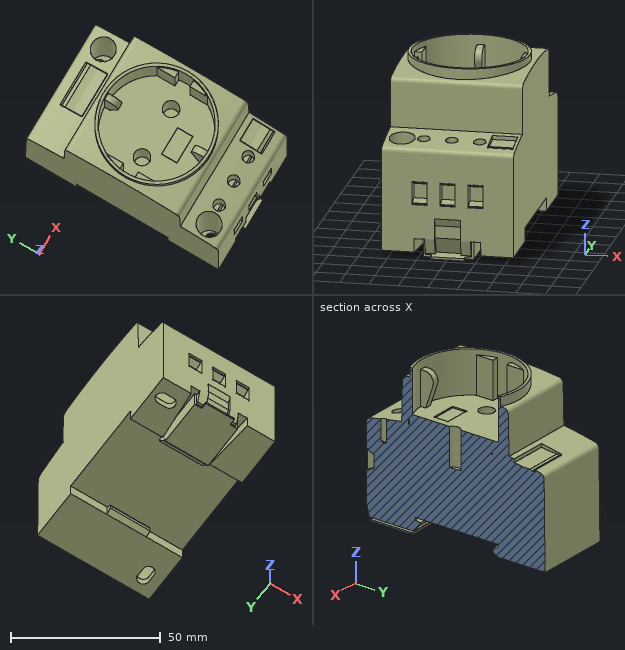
import cadquery as cq
import math

HOUSING_WIDTH = 45.0
FRONT_Y = -37.35
REAR_BOTTOM_Y = 37.61
REAR_TOP_Y = 37.2
SHOULDER_STEP_Y = 22.55
UPPER_WALL_Y = 22.2
SHOULDER_CROWN_Z = 40.3
TOP_CROWN_Z = 57.3
CROWN_RADIUS = 160.0
EDGE_RADIUS = 2.0

RAIL_HALF_WIDTH = 17.75
RAIL_DEPTH = 4.75
REAR_HOOK_REACH = 2.1
REAR_HOOK_HALF_WIDTH = 8.0
REAR_HOOK_NOSE_BOTTOM_Z = 1.15
REAR_HOOK_NOSE_TOP_Z = 2.95
REAR_HOOK_CHAMFER = 0.45
REAR_HOOK_TOP_Z = 3.75

RIM_Z = 59.72
RIM_DIAMETER = 41.2
SOCKET_DIAMETER = 39.0
SOCKET_DEPTH = 17.1
SOCKET_FLOOR_Z = RIM_Z - SOCKET_DEPTH
PIN_SPACING = 19.0
PIN_DIAMETER = 5.8
PIN_DEPTH = 15.0
WINDOW_SIZE = (10.4, 5.9)
WINDOW_Y = -8.0
WINDOW_DEPTH = 0.5
GUIDE_HALF_SPACING = 16.85
GUIDE_SLOT_WIDTH = 5.8
GUIDE_LENGTH = 20.0
GUIDE_HEIGHT = 14.9
CONTACT_WIDTH = 2.5
CONTACT_TOP_DEPTH = 3.5
CONTACT_CREST_Y = 17.8
CONTACT_FOOT_Y = 17.3
CONTACT_RADIUS = 3.65

FRONT_FIXING_X = -16.8
REAR_FIXING_X = 16.25
FIXING_Y = 30.3
FIXING_BORE_DIAMETER = 8.6
FIXING_FLOOR_Z = 3.0
FIXING_SLOT_LENGTH = 7.5
FIXING_SLOT_WIDTH = 4.4

TERMINAL_PITCH = 9.53
SCREW_Y = -29.9
SCREW_DIAMETER = 4.1
SCREW_HEAD_Z = 29.0
SCREW_SLOT_WIDTH = 0.65
SCREW_SLOT_DEPTH = 0.5
WIRE_WIDTH = 5.1
WIRE_BOTTOM_Z = 16.6
WIRE_TOP_Z = 24.5
WIRE_LIP_DEPTH = 0.75
WIRE_LIP_STEP = 0.35
WIRE_DEPTH = 3.2
WIRE_TAPER_RISE = 1.1

LABEL_INNER_Y = 24.7
LABEL_OUTER_Y = 33.2
LABEL_RIDGE_Y = 28.4
LABEL_GROOVE_Y = 31.3
LABEL_LEDGE_Y = 32.6
LABEL_INNER_Z = 37.0
LABEL_RIDGE_Z = 36.5
LABEL_GROOVE_Z = 35.9
LABEL_TOP_Z = 45.0
FRONT_LABEL_X = (12.8, 21.4)
REAR_LABEL_X = (-7.1, 9.7)

NOTCH_HALF_FRONT = 11.3
NOTCH_HALF_REAR = 9.45
CLIP_HALF_WIDTH = 8.65
CLIP_WALL = 0.85
CLIP_BOTTOM_Z = -1.92
CLIP_FRONT_Y = -35.5
CLIP_REAR_Y = -17.9
CLIP_NECK_Y = -16.7
CLIP_NECK_Z = 4.0
CLIP_NOSE_Y = -14.5
CLIP_NOSE_TOP_Z = 3.55
CLIP_NOSE_BOTTOM_Z = 2.8
CLIP_RAMP_FOOT_Y = -17.4
TONGUE_HALF_WIDTH = 5.75
TONGUE_FRONT_Y = -37.87
BLOCK_BOTTOM_Z = -0.5
BLOCK_BOTTOM_Y = -36.1
LEVER_HALF_WIDTH = 4.4
LEVER_TOP_Z = 12.05
LEVER_DEPTH = 1.0
LEVER_BACK_TOP_Z = 9.4
LEVER_BACK_BOTTOM_Z = 5.1
LEVER_BOTTOM_Y = -34.0

OVERLAP = 0.5


def crown_z(peak_z, y):
    """Height of a crowned surface at distance y from the socket axis."""
    return peak_z - CROWN_RADIUS + math.sqrt(CROWN_RADIUS**2 - y**2)


def box(x_range, y_range, z_range):
    """Box between pairs of limits along the three axes."""
    limits = (x_range, y_range, z_range)
    sizes = [high - low for low, high in limits]
    corner = [low for low, _ in limits]
    return cq.Workplane("XY").box(*sizes, centered=False).translate(tuple(corner))


def prism_along_x(points, x_low, x_high):
    """Prism along X over a polygon of (y, z) points."""
    section = cq.Workplane("YZ").workplane(offset=x_low).polyline(points).close()
    return section.extrude(x_high - x_low)


def cylinder(x, y, bottom_z, top_z, diameter):
    disc = cq.Workplane("XY").workplane(offset=bottom_z).center(x, y).circle(diameter / 2)
    return disc.extrude(top_z - bottom_z)


def housing():
    step_z = crown_z(SHOULDER_CROWN_Z, SHOULDER_STEP_Y)
    front_z = crown_z(SHOULDER_CROWN_Z, FRONT_Y)
    rear_z = crown_z(SHOULDER_CROWN_Z, REAR_TOP_Y)
    top_z = crown_z(TOP_CROWN_Z, UPPER_WALL_Y)
    front_mid_y = (FRONT_Y - SHOULDER_STEP_Y) / 2
    rear_mid_y = (REAR_TOP_Y + SHOULDER_STEP_Y) / 2
    profile = (
        cq.Workplane("YZ")
        .workplane(offset=-HOUSING_WIDTH / 2)
        .moveTo(FRONT_Y, 0)
        .lineTo(FRONT_Y, front_z)
        .threePointArc((front_mid_y, crown_z(SHOULDER_CROWN_Z, front_mid_y)), (-SHOULDER_STEP_Y, step_z))
        .lineTo(-UPPER_WALL_Y, top_z)
        .threePointArc((0, TOP_CROWN_Z), (UPPER_WALL_Y, top_z))
        .lineTo(SHOULDER_STEP_Y, step_z)
        .threePointArc((rear_mid_y, crown_z(SHOULDER_CROWN_Z, rear_mid_y)), (REAR_TOP_Y, rear_z))
        .lineTo(REAR_BOTTOM_Y, 0)
        .lineTo(RAIL_HALF_WIDTH, 0)
        .lineTo(RAIL_HALF_WIDTH, RAIL_DEPTH)
        .lineTo(-RAIL_HALF_WIDTH, RAIL_DEPTH)
        .lineTo(-RAIL_HALF_WIDTH, 0)
        .close()
    )
    body = profile.extrude(HOUSING_WIDTH)
    crests = [(FRONT_Y, front_z), (REAR_TOP_Y, rear_z), (-UPPER_WALL_Y, top_z), (UPPER_WALL_Y, top_z)]
    for y, z in crests:
        body = body.edges(cq.selectors.NearestToPointSelector((0, y, z))).fillet(EDGE_RADIUS)
    return body


def earth_contact():
    """Earth contact on the rear side of the socket, rounded at its top and slanting back to its foot."""
    wall_y = SOCKET_DIAMETER / 2 + OVERLAP
    crest_z = RIM_Z - CONTACT_TOP_DEPTH
    centre_z = crest_z - CONTACT_RADIUS
    foot_offset_y = CONTACT_FOOT_Y - CONTACT_CREST_Y
    foot_offset_z = SOCKET_FLOOR_Z - centre_z
    foot_angle = math.atan2(foot_offset_z, foot_offset_y) % (2 * math.pi)
    tangent_angle = foot_angle - math.acos(CONTACT_RADIUS / math.hypot(foot_offset_y, foot_offset_z))
    middle_angle = (math.pi / 2 + tangent_angle) / 2

    def point_on_nose(angle):
        return (CONTACT_CREST_Y + CONTACT_RADIUS * math.cos(angle), centre_z + CONTACT_RADIUS * math.sin(angle))

    return (
        cq.Workplane("YZ")
        .workplane(offset=-CONTACT_WIDTH / 2)
        .moveTo(wall_y, SOCKET_FLOOR_Z)
        .lineTo(wall_y, crest_z)
        .lineTo(CONTACT_CREST_Y, crest_z)
        .threePointArc(point_on_nose(middle_angle), point_on_nose(tangent_angle))
        .lineTo(CONTACT_FOOT_Y, SOCKET_FLOOR_Z)
        .close()
        .extrude(CONTACT_WIDTH)
    )


def socket_guides():
    """Ribs along the two sides of the socket, each split by a guide slot."""
    guide_top_z = SOCKET_FLOOR_Z + GUIDE_HEIGHT
    guide_z = (SOCKET_FLOOR_Z - OVERLAP, guide_top_z)
    half_length = GUIDE_LENGTH / 2 + OVERLAP
    rib = box((GUIDE_HALF_SPACING, SOCKET_DIAMETER / 2), (GUIDE_SLOT_WIDTH / 2, half_length), guide_z)
    disc = cylinder(0, 0, SOCKET_FLOOR_Z - OVERLAP, guide_top_z, SOCKET_DIAMETER + OVERLAP)
    rib = rib.intersect(disc)
    pair = rib.union(rib.mirror("XZ"))
    return pair.union(pair.mirror("YZ"))


def add_socket(body):
    rim_base_z = crown_z(TOP_CROWN_Z, RIM_DIAMETER / 2) - EDGE_RADIUS
    body = body.union(cylinder(0, 0, rim_base_z, RIM_Z, RIM_DIAMETER))
    body = body.cut(cylinder(0, 0, SOCKET_FLOOR_Z, RIM_Z, SOCKET_DIAMETER))
    for side in (-1, 1):
        pin_bottom_z = SOCKET_FLOOR_Z - PIN_DEPTH
        pin_hole = cylinder(side * PIN_SPACING / 2, 0, pin_bottom_z, SOCKET_FLOOR_Z, PIN_DIAMETER)
        body = body.cut(pin_hole)
    window = cq.Workplane("XY").box(*WINDOW_SIZE, 2 * WINDOW_DEPTH)
    body = body.cut(window.translate((0, WINDOW_Y, SOCKET_FLOOR_Z)))
    contact = earth_contact()
    return body.union(socket_guides()).union(contact).union(contact.mirror("XZ"))


def fixing_hole(x, y, slot_angle):
    """Deep counterbore with a slotted hole through its floor."""
    bore = cylinder(x, y, FIXING_FLOOR_Z, SHOULDER_CROWN_Z, FIXING_BORE_DIAMETER)
    slot = (
        cq.Workplane("XY")
        .center(x, y)
        .slot2D(FIXING_SLOT_LENGTH, FIXING_SLOT_WIDTH, slot_angle)
        .extrude(FIXING_FLOOR_Z + OVERLAP)
    )
    return bore.union(slot)


def terminal_cut(x):
    """Screw hole with a slotted screw head, and the wire opening below it."""
    screw_hole = cylinder(x, SCREW_Y, SCREW_HEAD_Z, SHOULDER_CROWN_Z, SCREW_DIAMETER)
    slot_disc = cylinder(x, SCREW_Y, SCREW_HEAD_Z - SCREW_SLOT_DEPTH, SCREW_HEAD_Z, SCREW_DIAMETER)
    slot_bar = cq.Workplane("XY").box(SCREW_DIAMETER, SCREW_SLOT_WIDTH, 2 * SCREW_SLOT_DEPTH)
    driver_slot = slot_disc.intersect(slot_bar.translate((x, SCREW_Y, SCREW_HEAD_Z)))

    lip_y = FRONT_Y + WIRE_LIP_DEPTH
    back_y = FRONT_Y + WIRE_DEPTH
    inner_bottom_z = WIRE_BOTTOM_Z + WIRE_LIP_STEP
    inner_top_z = WIRE_TOP_Z - WIRE_LIP_STEP
    wire_outline = [
        (FRONT_Y, WIRE_BOTTOM_Z),
        (lip_y, WIRE_BOTTOM_Z),
        (lip_y, inner_bottom_z),
        (back_y, inner_bottom_z + WIRE_TAPER_RISE),
        (back_y, inner_top_z - WIRE_TAPER_RISE),
        (lip_y, inner_top_z),
        (lip_y, WIRE_TOP_Z),
        (FRONT_Y, WIRE_TOP_Z),
    ]
    wire_opening = prism_along_x(wire_outline, x - WIRE_WIDTH / 2, x + WIRE_WIDTH / 2)
    return screw_hole.union(driver_slot).union(wire_opening)


def label_recess(x_low, x_high):
    """Recess in the rear shoulder with a faceted floor and a groove near its outer edge."""
    floor = [
        (LABEL_INNER_Y, LABEL_INNER_Z),
        (LABEL_RIDGE_Y, LABEL_RIDGE_Z),
        (LABEL_GROOVE_Y, LABEL_RIDGE_Z),
        (LABEL_LEDGE_Y, LABEL_GROOVE_Z),
        (LABEL_LEDGE_Y, LABEL_RIDGE_Z),
        (LABEL_OUTER_Y, LABEL_RIDGE_Z),
    ]
    outline = floor + [(LABEL_OUTER_Y, LABEL_TOP_Z), (LABEL_INNER_Y, LABEL_TOP_Z)]
    return prism_along_x(outline, x_low, x_high)


def clip_notch():
    """Tapered notch through the front foot that holds the clip."""
    taper = [
        (-NOTCH_HALF_FRONT, FRONT_Y),
        (NOTCH_HALF_FRONT, FRONT_Y),
        (NOTCH_HALF_REAR, -RAIL_HALF_WIDTH),
        (-NOTCH_HALF_REAR, -RAIL_HALF_WIDTH),
    ]
    return cq.Workplane("XY").polyline(taper).close().extrude(RAIL_DEPTH)


def lever_recess():
    """Recess in the front wall and guide block for levering the clip."""
    back_y = FRONT_Y + LEVER_DEPTH
    outline = [
        (FRONT_Y, LEVER_TOP_Z),
        (back_y, LEVER_BACK_TOP_Z),
        (back_y, LEVER_BACK_BOTTOM_Z),
        (LEVER_BOTTOM_Y, BLOCK_BOTTOM_Z),
        (FRONT_Y, BLOCK_BOTTOM_Z),
    ]
    return prism_along_x(outline, -LEVER_HALF_WIDTH, LEVER_HALF_WIDTH)


def guide_block():
    """Block inside the clip, with a front face that leans back."""
    inner_half = CLIP_HALF_WIDTH - CLIP_WALL
    outline = [
        (FRONT_Y, RAIL_DEPTH),
        (BLOCK_BOTTOM_Y, BLOCK_BOTTOM_Z),
        (-RAIL_HALF_WIDTH, BLOCK_BOTTOM_Z),
        (-RAIL_HALF_WIDTH, RAIL_DEPTH),
    ]
    return prism_along_x(outline, -inner_half, inner_half)


def rail_clip():
    """U-shaped clip with a pull tongue in front and a hook for the rail behind."""
    inner_half = CLIP_HALF_WIDTH - CLIP_WALL
    plate_z = (CLIP_BOTTOM_Z, CLIP_BOTTOM_Z + CLIP_WALL)
    clip_y = (CLIP_FRONT_Y, CLIP_REAR_Y)
    clip = box((-CLIP_HALF_WIDTH, CLIP_HALF_WIDTH), clip_y, plate_z)
    wall = box((inner_half, CLIP_HALF_WIDTH), clip_y, (CLIP_BOTTOM_Z, RAIL_DEPTH))
    tongue_y = (TONGUE_FRONT_Y, CLIP_FRONT_Y)
    tongue = box((-TONGUE_HALF_WIDTH, TONGUE_HALF_WIDTH), tongue_y, plate_z)
    hook_outline = [
        (CLIP_REAR_Y, RAIL_DEPTH),
        (CLIP_NECK_Y, RAIL_DEPTH),
        (CLIP_NECK_Y, CLIP_NECK_Z),
        (CLIP_NOSE_Y, CLIP_NOSE_TOP_Z),
        (CLIP_NOSE_Y, CLIP_NOSE_BOTTOM_Z),
        (CLIP_RAMP_FOOT_Y, BLOCK_BOTTOM_Z),
        (CLIP_REAR_Y, BLOCK_BOTTOM_Z),
    ]
    hook = prism_along_x(hook_outline, -CLIP_HALF_WIDTH, CLIP_HALF_WIDTH)
    return clip.union(wall).union(wall.mirror("YZ")).union(tongue).union(hook)


def rear_hook():
    """Fixed hook on the rear foot that holds the other edge of the rail."""
    nose_y = RAIL_HALF_WIDTH - REAR_HOOK_REACH
    outline = [
        (RAIL_HALF_WIDTH, 0),
        (nose_y, REAR_HOOK_NOSE_BOTTOM_Z),
        (nose_y, REAR_HOOK_NOSE_TOP_Z),
        (nose_y + REAR_HOOK_CHAMFER, REAR_HOOK_NOSE_TOP_Z + REAR_HOOK_CHAMFER),
        (RAIL_HALF_WIDTH, REAR_HOOK_TOP_Z),
    ]
    return prism_along_x(outline, -REAR_HOOK_HALF_WIDTH, REAR_HOOK_HALF_WIDTH)


part = add_socket(housing())
part = part.cut(fixing_hole(FRONT_FIXING_X, -FIXING_Y, 0))
part = part.cut(fixing_hole(REAR_FIXING_X, FIXING_Y, 90))
for position in (-1, 0, 1):
    part = part.cut(terminal_cut(position * TERMINAL_PITCH))
part = part.cut(label_recess(*FRONT_LABEL_X).mirror("XZ"))
part = part.cut(label_recess(*REAR_LABEL_X))
part = part.cut(clip_notch()).union(guide_block()).cut(lever_recess())
result = part.union(rail_clip()).union(rear_hook())